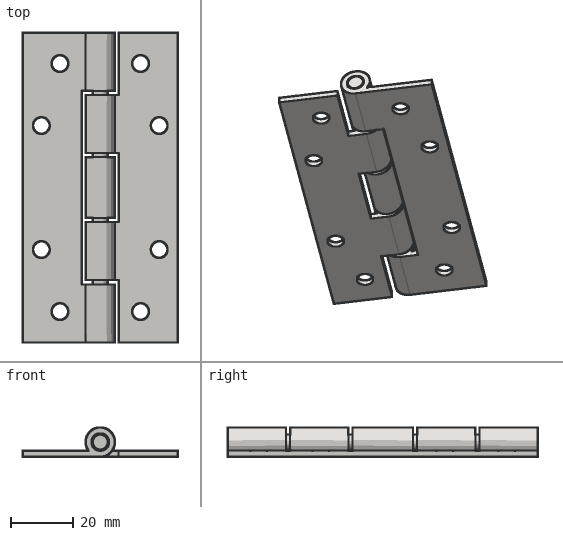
import cadquery as cq

length = 100.0
half_width = 25.0
leaf_thickness = 2.0
notch_edge = 5.9

barrel_diameter = 9.5
barrel_radius = barrel_diameter / 2
bore_diameter = 5.5
pin_diameter = 5.0
axis_height = barrel_radius

end_knuckle_length = 18.8
inner_knuckle_length = 18.8
knuckle_gap = 1.3

screw_diameter = 5.3
screw_places = [(13.0, 40.0), (19.0, 20.0)]

half_length = length / 2
end_inner_y = half_length - end_knuckle_length
inner_outer_y = end_inner_y - knuckle_gap
inner_inner_y = inner_outer_y - inner_knuckle_length
sleeve_half_length = inner_inner_y - knuckle_gap
end_knuckles = [(-half_length, -end_inner_y), (end_inner_y, half_length)]
inner_knuckles = [(-inner_outer_y, -inner_inner_y), (inner_inner_y, inner_outer_y)]


def rod(diameter, y_start, y_end):
    """Solid cylinder on the hinge axis between two Y positions."""
    return (
        cq.Workplane("XZ", origin=(0, y_start, axis_height))
        .circle(diameter / 2)
        .extrude(y_start - y_end)
    )


def plate(x_start, x_end, y_start, y_end):
    """Flat piece of leaf resting on Z = 0."""
    return cq.Workplane("XY").box(
        x_end - x_start, y_end - y_start, leaf_thickness, centered=False
    ).translate((x_start, y_start, 0))


def make_leaf(side, knuckles):
    """Drilled leaf on one side of the axis (-1 left, +1 right) with its bored knuckles."""
    edges = sorted([side * notch_edge, side * half_width])
    leaf = plate(*edges, -half_length, half_length)
    for y_start, y_end in knuckles:
        tab_edges = sorted([0, side * notch_edge])
        leaf = leaf.union(plate(*tab_edges, y_start, y_end))
        leaf = leaf.union(rod(barrel_diameter, y_start, y_end))
    leaf = leaf.cut(rod(bore_diameter, -half_length, half_length))

    screw_centers = [(side * x, end * y) for x, y in screw_places for end in (-1, 1)]
    screw_holes = (
        cq.Workplane("XY")
        .pushPoints(screw_centers)
        .circle(screw_diameter / 2)
        .extrude(leaf_thickness)
    )
    return leaf.cut(screw_holes)


def make_sleeve():
    """Loose tube filling the middle of the barrel."""
    tube = rod(barrel_diameter, -sleeve_half_length, sleeve_half_length)
    return tube.cut(rod(bore_diameter, -sleeve_half_length, sleeve_half_length))


def make_pin():
    """Plain pin through the full barrel."""
    return rod(pin_diameter, -half_length, half_length)


left_leaf = make_leaf(-1, end_knuckles)
right_leaf = make_leaf(1, inner_knuckles)
sleeve = make_sleeve()
pin = make_pin()

result = cq.Compound.makeCompound(
    [left_leaf.val(), right_leaf.val(), sleeve.val(), pin.val()]
)